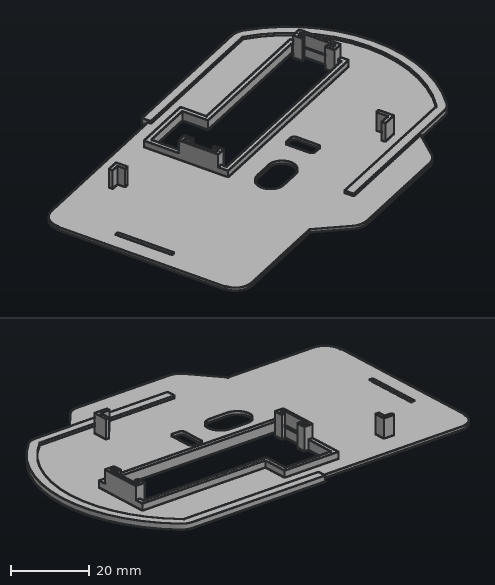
import cadquery as cq
import math

PLATE_TOP = 1.0
RIM_TOP = 1.75
FRAME_TOP = 3.0
POST_TOP = 6.75
CLIP_TOP = 7.0

TOTAL_LENGTH = 112.25
BODY_HALF_WIDTH = 30.2
CORNER_RADIUS = 5.0
FOOT_STEP = 0.25
TAB_X = 40.6
TAB_BOTTOM_Y = 41.9
TAB_TOP_Y = 76.6
TAB_SLOPE = math.radians(40)

RIM_HALF_WIDTH = 31.93
RIM_WIDTH = 2.75
RIM_END_Y = 51.6
DOME_RADIUS = 41.0
DOME_CENTER_Y = TOTAL_LENGTH - DOME_RADIUS

FRAME_WALL = 1.35
FRAME_LEFT = -25.15
FRAME_STEP_X = -17.4
FRAME_RIGHT = 0.2
FRAME_BOTTOM = 41.8
FRAME_STEP_Y = 59.5
FRAME_TOP_Y = 100.0

CLIP_LEFT = -14.7
CLIP_WALL = 1.0
CLIP_LIP = 2.8
TOP_CLIP_WIDTH = 12.5
TOP_CLIP_DEPTH = 3.0
BOTTOM_CLIP_WIDTH = 11.9
BOTTOM_CLIP_DEPTH = 2.7
BOTTOM_CLIP_BACK = 0.6

SWITCH_CENTER = (8.75, 64.2)
SWITCH_SIZE = (8.6, 4.1)
SWITCH_RADIUS = 1.0
SLOT_CENTER = (10.06, 49.25)
SLOT_LENGTH = 13.5
SLOT_WIDTH = 7.9
STRAP_CENTER = (-2.2, 5.45)
STRAP_SIZE = (17.0, 1.1)

POST_WALL = 1.1
UPPER_POST_CORNER = (25.9, 80.6)
UPPER_POST_ARMS = (4.6, 4.1)
LOWER_POST_CORNER = (-23.2, 25.2)
LOWER_POST_ARMS = (3.4, 3.4)


def block(x_min, x_max, y_min, y_max, z_min, z_max):
    """Box given by its limits along each axis."""
    size = (x_max - x_min, y_max - y_min, z_max - z_min)
    return cq.Workplane("XY").box(*size, centered=False).translate((x_min, y_min, z_min))


def domed_prism(half_width, radius, height):
    """Straight-sided prism closed at its far end by an arc about the dome center."""
    shoulder_y = DOME_CENTER_Y + math.sqrt(radius**2 - half_width**2)
    return (
        cq.Workplane("XY")
        .moveTo(-half_width, RIM_END_Y)
        .lineTo(half_width, RIM_END_Y)
        .lineTo(half_width, shoulder_y)
        .threePointArc((0, DOME_CENTER_Y + radius), (-half_width, shoulder_y))
        .close()
        .extrude(height)
    )


def outer_dome(height):
    """Domed end with its two shoulders rounded."""
    dome = domed_prism(RIM_HALF_WIDTH, DOME_RADIUS, height)
    return dome.edges("|Z").edges(">Y").fillet(CORNER_RADIUS)


def make_plate():
    """Flat plate: rectangular body, domed end, side tab and foot step."""
    body = block(-BODY_HALF_WIDTH, BODY_HALF_WIDTH, FOOT_STEP, DOME_CENTER_Y, 0, PLATE_TOP)
    body = body.edges("|Z and <Y").fillet(CORNER_RADIUS)
    foot_half_width = BODY_HALF_WIDTH - CORNER_RADIUS
    foot = block(-foot_half_width, foot_half_width, 0, CORNER_RADIUS, 0, PLATE_TOP)
    tab_rise = TAB_X * math.tan(TAB_SLOPE)
    tab = (
        cq.Workplane("XY")
        .moveTo(0, TAB_BOTTOM_Y - tab_rise)
        .lineTo(TAB_X, TAB_BOTTOM_Y)
        .lineTo(TAB_X, TAB_TOP_Y)
        .lineTo(0, TAB_TOP_Y + tab_rise)
        .close()
        .extrude(PLATE_TOP)
        .edges("|Z and >X")
        .fillet(CORNER_RADIUS)
    )
    return body.union(foot).union(tab).union(outer_dome(PLATE_TOP))


def make_rim():
    """Raised band along the dome and both sides, open at the straight end."""
    inside = domed_prism(RIM_HALF_WIDTH - RIM_WIDTH, DOME_RADIUS - RIM_WIDTH, RIM_TOP)
    return outer_dome(RIM_TOP).cut(inside)


def window_prism(inset):
    """L-shaped prism around the window, offset inward by inset."""
    return (
        cq.Workplane("XY")
        .moveTo(FRAME_LEFT + inset, FRAME_BOTTOM + inset)
        .lineTo(FRAME_RIGHT - inset, FRAME_BOTTOM + inset)
        .lineTo(FRAME_RIGHT - inset, FRAME_TOP_Y - inset)
        .lineTo(FRAME_STEP_X + inset, FRAME_TOP_Y - inset)
        .lineTo(FRAME_STEP_X + inset, FRAME_STEP_Y - inset)
        .lineTo(FRAME_LEFT + inset, FRAME_STEP_Y - inset)
        .close()
        .extrude(FRAME_TOP)
    )


def make_clip(back_y, inward, width, depth, back_wall):
    """C-shaped clip; inward is +1 or -1, the Y direction in which it opens."""
    right = CLIP_LEFT + width

    def strip(x_min, x_max, near, far):
        y_limits = sorted((back_y + inward * near, back_y + inward * far))
        return block(x_min, x_max, *y_limits, 0, CLIP_TOP)

    clip = strip(CLIP_LEFT, right, 0, depth)
    clip = clip.cut(strip(CLIP_LEFT + CLIP_WALL, right - CLIP_WALL, back_wall, depth - CLIP_WALL))
    return clip.cut(strip(CLIP_LEFT + CLIP_LIP, right - CLIP_LIP, back_wall, depth))


def make_post(corner, arms, side):
    """L-shaped post; its X arm runs toward side (+1 or -1), its Y arm toward -Y."""
    x, y = corner
    arm_x, arm_y = arms
    x_arm = block(*sorted((x, x + side * arm_x)), y - POST_WALL, y, 0, POST_TOP)
    y_arm = block(*sorted((x, x + side * POST_WALL)), y - arm_y, y, 0, POST_TOP)
    return x_arm.union(y_arm)


def make_openings():
    """Switch window, round-ended slot and narrow strap slit."""
    switch = cq.Workplane("XY").center(*SWITCH_CENTER).rect(*SWITCH_SIZE).extrude(PLATE_TOP)
    switch = switch.edges("|Z").fillet(SWITCH_RADIUS)
    slot = cq.Workplane("XY").center(*SLOT_CENTER).slot2D(SLOT_LENGTH, SLOT_WIDTH, 90).extrude(PLATE_TOP)
    strap = cq.Workplane("XY").center(*STRAP_CENTER).rect(*STRAP_SIZE).extrude(PLATE_TOP)
    return switch.union(slot).union(strap)


result = make_plate().union(make_rim()).cut(make_openings())
result = result.union(window_prism(0)).cut(window_prism(FRAME_WALL))
result = result.union(make_clip(FRAME_TOP_Y, -1, TOP_CLIP_WIDTH, TOP_CLIP_DEPTH, CLIP_WALL))
result = result.union(make_clip(FRAME_BOTTOM, 1, BOTTOM_CLIP_WIDTH, BOTTOM_CLIP_DEPTH, BOTTOM_CLIP_BACK))
result = result.union(make_post(UPPER_POST_CORNER, UPPER_POST_ARMS, -1))
result = result.union(make_post(LOWER_POST_CORNER, LOWER_POST_ARMS, 1))